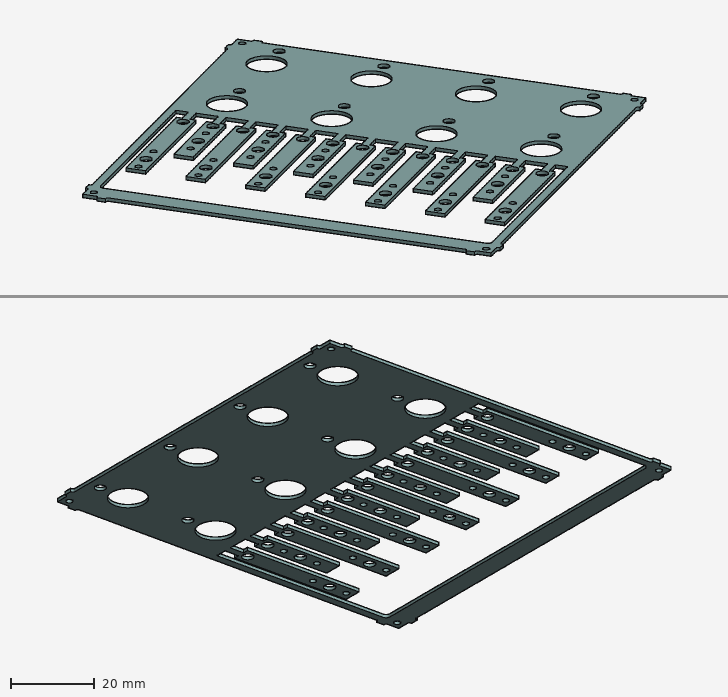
import cadquery as cq

overall_size = 105.6
thickness = 0.91
tab_height = 0.79
plate_size = overall_size - 2 * tab_height
plate_half = plate_size / 2

tab_width = 2.2
tab_offset = 47.0
tab_root_radius = 0.5

corner_hole_diameter = 1.7
corner_hole_offset = 50.0

tongue_row_span = 91.5
tongues_per_side = 6
tongue_pitch = tongue_row_span / (2 * tongues_per_side)
tongue_width = 5.0
tongue_top = 1.1
long_tongue_bottom = -33.0
short_tongue_bottom = -20.9
neck_width = 2.0

tongue_hole_diameter = 3.0
tongue_top_hole_y = -1.1
long_tongue_hole_y = -26.0
short_tongue_hole_y = -11.0
pin_hole_diameter = 1.7
pin_hole_spacing = 5.1

window_half_width = 49.8
window_top = 5.1
window_bottom = -46.7
window_corner_radius = 1.2

opening_columns = 4
opening_rows = 2
opening_pitch = 3.5 * tongue_pitch
opening_diameter = 9.8
top_opening_y = 40.0
small_hole_diameter = 2.9
small_hole_rise = 8.5


def block(x_min, x_max, y_min, y_max):
    """Full-thickness block between the given X and Y limits."""
    return (
        cq.Workplane("XY")
        .box(x_max - x_min, y_max - y_min, thickness, centered=False)
        .translate((x_min, y_min, 0))
    )


def cut_holes(body, points, diameter):
    """Cut through holes of one diameter at the given points."""
    cutters = cq.Workplane("XY").pushPoints(points).circle(diameter / 2).extrude(thickness)
    return body.cut(cutters)


def make_plate():
    """Square plate with two tabs beside each corner, flared where they meet the plate."""
    plate = block(-plate_half, plate_half, -plate_half, plate_half)
    half_size = overall_size / 2
    for side in (-tab_offset, tab_offset):
        low = side - tab_width / 2
        high = side + tab_width / 2
        plate = plate.union(block(low, high, -half_size, half_size))
        plate = plate.union(block(-half_size, half_size, low, high))

    roots = [
        (x_sign * along, y_sign * plate_half)
        for x_sign in (-1, 1)
        for y_sign in (-1, 1)
        for along in (tab_offset - tab_width / 2, tab_offset + tab_width / 2)
    ]
    roots += [(y, x) for x, y in roots]
    root_edges = cq.Workplane("XY")
    for x, y in roots:
        nearest = cq.selectors.NearestToPointSelector((x, y, thickness / 2))
        root_edges = root_edges.add(plate.edges("|Z").edges(nearest))
    return plate.newObject(root_edges.vals()).fillet(tab_root_radius)


def make_window():
    """Window cutter, rounded at its two lower corners only."""
    window = block(-window_half_width, window_half_width, window_bottom, window_top)
    return window.edges("<Y and |Z").fillet(window_corner_radius)


def make_tongue(x, bottom, lower_hole_y):
    """Tongue hanging from a narrow neck, with its holes."""
    blade = block(x - tongue_width / 2, x + tongue_width / 2, bottom, tongue_top)
    neck = block(x - neck_width / 2, x + neck_width / 2, tongue_top, window_top)
    tongue = blade.union(neck)
    tongue = cut_holes(tongue, [(x, tongue_top_hole_y), (x, lower_hole_y)], tongue_hole_diameter)
    pin_points = [(x, lower_hole_y + offset) for offset in (-pin_hole_spacing, pin_hole_spacing)]
    return cut_holes(tongue, pin_points, pin_hole_diameter)


def cut_openings(body):
    """Cut the grid of large openings and the small hole above each."""
    centers = [
        ((column - (opening_columns - 1) / 2) * opening_pitch, top_opening_y - row * opening_pitch)
        for column in range(opening_columns)
        for row in range(opening_rows)
    ]
    body = cut_holes(body, centers, opening_diameter)
    return cut_holes(body, [(x, y + small_hole_rise) for x, y in centers], small_hole_diameter)


result = make_plate().cut(make_window())

for position in range(-tongues_per_side, tongues_per_side + 1):
    if position % 2 == 0:
        tongue = make_tongue(position * tongue_pitch, long_tongue_bottom, long_tongue_hole_y)
    else:
        tongue = make_tongue(position * tongue_pitch, short_tongue_bottom, short_tongue_hole_y)
    result = result.union(tongue)

result = cut_openings(result)
corner_points = [
    (x, y)
    for x in (-corner_hole_offset, corner_hole_offset)
    for y in (-corner_hole_offset, corner_hole_offset)
]
result = cut_holes(result, corner_points, corner_hole_diameter)